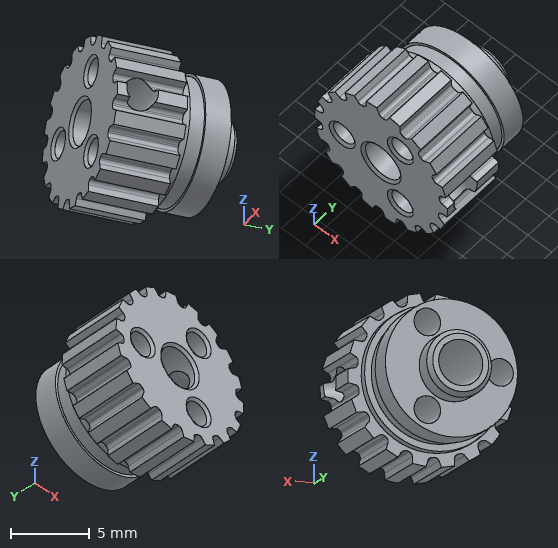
import cadquery as cq
import math


tooth_count = 18
tip_apothem = 5.648
root_radius = 5.01
wheel_length = 4.9
first_gap_angle = 8.05
gap_root_half_width = 0.284
flank_angle = 21.5
gap_root_fillet = 0.33

collar = (9.5, 0.6)
neck = (8.6, 1.2)
flange = (9.0, 1.8)
spigot = (4.4, 1.6)
spigot_chamfer = 0.3

bore_diameter = 3.0
bolt_hole_diameter = 1.8
bolt_hole_count = 3
bolt_circle_radius = 3.3
hole_chamfer = 0.2
screw_hole_diameter = 2.2
screw_hole_y = 1.75

hub_sections = (collar, neck, flange, spigot)
tooth_pitch_angle = 360 / tooth_count
clearance_radius = tip_apothem + 1.0
total_length = wheel_length + sum(length for _, length in hub_sections)


def cylinder(diameter, length, start_y=0.0, x=0.0, z=0.0):
    """Cylinder running in +Y from start_y, with its axis through (x, z)."""
    axis_start = cq.Vector(x, start_y, z)
    return cq.Workplane(cq.Solid.makeCylinder(diameter / 2, length, axis_start, cq.Vector(0, 1, 0)))


def tooth_gap():
    """Tapered groove with a rounded root, cut into the +X side."""
    flank_slope = math.tan(math.radians(flank_angle))
    outer_half_width = gap_root_half_width + (clearance_radius - root_radius) * flank_slope
    outline = [
        (root_radius, -gap_root_half_width),
        (clearance_radius, -outer_half_width),
        (clearance_radius, outer_half_width),
        (root_radius, gap_root_half_width),
    ]
    groove = cq.Workplane("XZ").polyline(outline).close().extrude(-wheel_length)
    return groove.edges("|Y").edges("<X").fillet(gap_root_fillet)


def toothed_wheel():
    corner_diameter = 2 * tip_apothem / math.cos(math.pi / tooth_count)
    wheel = cq.Workplane("XZ").polygon(tooth_count, corner_diameter).extrude(-wheel_length)
    wheel = wheel.rotate((0, 0, 0), (0, 1, 0), -first_gap_angle)
    gap = tooth_gap()
    for index in range(tooth_count):
        angle = first_gap_angle + index * tooth_pitch_angle
        wheel = wheel.cut(gap.rotate((0, 0, 0), (0, 1, 0), -angle))
    return wheel


def stepped_hub():
    start_y = wheel_length
    hub = None
    for diameter, length in hub_sections:
        section = cylinder(diameter, length, start_y)
        hub = section if hub is None else hub.union(section)
        start_y += length
    return hub.faces(">Y").chamfer(spigot_chamfer)


def chamfered_hole(diameter, x=0.0, z=0.0):
    """Cutter for a through hole along Y with a 45 degree chamfer at the front face."""
    radius = diameter / 2
    cone = cq.Solid.makeCone(
        radius + hole_chamfer, radius, hole_chamfer, cq.Vector(x, 0, z), cq.Vector(0, 1, 0)
    )
    return cylinder(diameter, total_length, x=x, z=z).union(cq.Workplane(cone))


def bolt_holes():
    holes = cq.Workplane()
    for index in range(bolt_hole_count):
        angle = math.pi + index * 2 * math.pi / bolt_hole_count
        x = bolt_circle_radius * math.cos(angle)
        z = bolt_circle_radius * math.sin(angle)
        holes = holes.add(chamfered_hole(bolt_hole_diameter, x, z))
    return holes.combine()


def screw_hole():
    """Cutter for the radial hole from the +X side into the bore."""
    axis_start = cq.Vector(0, screw_hole_y, 0)
    return cq.Workplane(
        cq.Solid.makeCylinder(screw_hole_diameter / 2, clearance_radius, axis_start, cq.Vector(1, 0, 0))
    )


result = toothed_wheel().union(stepped_hub())
result = result.cut(chamfered_hole(bore_diameter)).cut(bolt_holes()).cut(screw_hole())